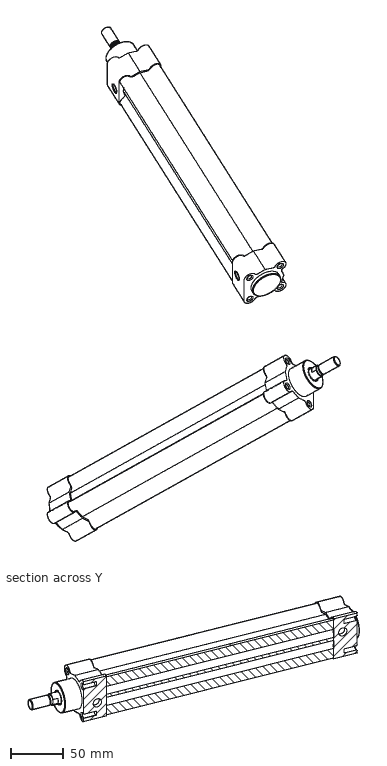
import cadquery as cq
import math


OVERALL_LENGTH = 346.0
FRONT_BOSS_START = 29.8
FRONT_CAP_START = 48.0
CAP_LENGTH = 25.3
REAR_BOSS_LENGTH = 3.8
BARREL_START = FRONT_CAP_START + CAP_LENGTH
REAR_CAP_START = OVERALL_LENGTH - REAR_BOSS_LENGTH - CAP_LENGTH
REAR_BOSS_START = OVERALL_LENGTH - REAR_BOSS_LENGTH
BARREL_LENGTH = REAR_CAP_START - BARREL_START

LOBE_OFFSET = 16.3
LOBE_CENTRES = [(y, z) for y in (-LOBE_OFFSET, LOBE_OFFSET) for z in (-LOBE_OFFSET, LOBE_OFFSET)]
EAVE_RUN = 14.0
VALLEY_ZONE = (7.0, 11.8)

CAP_HALF_WIDTH = 22.5
CAP_LOBE_RADIUS = CAP_HALF_WIDTH - LOBE_OFFSET
CAP_RIDGE_HEIGHT = 20.0
CAP_KNEE_WIDTH = 6.0
CAP_RIDGE_ANGLE = 15.0
CAP_EAVE_ANGLE = 17.0
CAP_VALLEY_FILLET = 2.0

BARREL_LOBE_RADIUS = 5.2
BARREL_RIDGE_HEIGHT = 18.0
BARREL_KNEE_WIDTH = 3.8
BARREL_RIDGE_ANGLE = 11.0
BARREL_EAVE_ANGLE = 15.0
BARREL_VALLEY_FILLET = 1.5

BOSS_RADIUS = 15.2
BOSS_CHAMFER = 0.7
SEAL_RECESS_RADIUS = 7.3
SEAL_RECESS_DEPTH = 1.0
SCREW_HOLE_RADIUS = 2.5
SCREW_HOLE_DEPTH = 14.0
SCREW_HOLE_CHAMFER = 1.0
PORT_RADIUS = 4.0
PORT_DEPTH = 9.0
PORT_CHAMFER = 0.7
PORT_OFFSET = 5.2
FRONT_PORT_X = 63.3
REAR_PORT_X = 326.5

ROD_RADIUS = 6.0
THREAD_RADIUS = 5.2
THREAD_CHAMFER = 0.7
THREAD_END = 19.0
NECK_RADIUS = 5.0
NECK_END = 22.0
NECK_TAPER = 1.0
FLATS_END = 27.5
ACROSS_FLATS = 10.5


def section_plane(x):
    return cq.Workplane("YZ", origin=(x, 0, 0))


def drop(run, angle):
    return run * math.tan(math.radians(angle))


def on_four_sides(roof_points):
    """Outline that repeats the roof of the +Z side on all four sides."""
    outline = []
    for _ in range(4):
        outline += roof_points
        roof_points = [(z, -y) for y, z in roof_points]
    return outline


def fillet_valleys(body, radius):
    """Round the inner corners where the roofs run into the corner lobes."""
    def is_valley(edge):
        nearer_axis = min(abs(edge.Center().y), abs(edge.Center().z))
        return VALLEY_ZONE[0] < nearer_axis < VALLEY_ZONE[1]

    valleys = [edge for edge in body.edges("|X").vals() if is_valley(edge)]
    return body.newObject(valleys).fillet(radius)


def make_roofed_bar(start, length, ridge_height, knee_width, ridge_angle, eave_angle):
    """Square bar whose four sides rise to a shallow double-slope ridge."""
    knee_height = ridge_height - drop(knee_width, ridge_angle)
    eave_height = knee_height - drop(EAVE_RUN - knee_width, eave_angle)
    roof = [
        (-EAVE_RUN, eave_height),
        (-knee_width, knee_height),
        (0, ridge_height),
        (knee_width, knee_height),
        (EAVE_RUN, eave_height),
    ]
    return section_plane(start).polyline(on_four_sides(roof)).close().extrude(length)


def make_cap_block(start):
    """Block with four round lobes, shallow ridges on three sides and a flat -Y side."""
    core = make_roofed_bar(
        start, CAP_LENGTH, CAP_RIDGE_HEIGHT, CAP_KNEE_WIDTH, CAP_RIDGE_ANGLE, CAP_EAVE_ANGLE
    )
    plane = section_plane(start)
    lobes = plane.pushPoints(LOBE_CENTRES).circle(CAP_LOBE_RADIUS).extrude(CAP_LENGTH)
    flat_side = (
        plane.center(-CAP_HALF_WIDTH / 2, 0)
        .rect(CAP_HALF_WIDTH, 2 * LOBE_OFFSET).extrude(CAP_LENGTH)
    )
    return fillet_valleys(core.union(lobes).union(flat_side), CAP_VALLEY_FILLET)


def make_boss(start, length, outer_end):
    boss = section_plane(start).circle(BOSS_RADIUS).extrude(length)
    return boss.faces(outer_end).chamfer(BOSS_CHAMFER)


def drill(body, mouth, direction, radius, depth, chamfer):
    """Blind hole with a chamfered mouth."""
    bore = cq.Solid.makeCylinder(radius, depth, mouth, direction)
    countersink = cq.Solid.makeCone(radius + chamfer, radius, chamfer, mouth, direction)
    return body.cut(cq.Workplane(bore)).cut(cq.Workplane(countersink))


def drill_port(body, x, z):
    mouth = cq.Vector(x, -CAP_HALF_WIDTH, z)
    return drill(body, mouth, cq.Vector(0, 1, 0), PORT_RADIUS, PORT_DEPTH, PORT_CHAMFER)


def drill_screw_holes(body, x, inward):
    for y, z in LOBE_CENTRES:
        mouth = cq.Vector(x, y, z)
        direction = cq.Vector(inward, 0, 0)
        body = drill(body, mouth, direction, SCREW_HOLE_RADIUS, SCREW_HOLE_DEPTH, SCREW_HOLE_CHAMFER)
    return body


def make_front_cap():
    """Cap with the long boss, bored through for the rod."""
    boss = make_boss(FRONT_BOSS_START, FRONT_CAP_START - FRONT_BOSS_START, "<X")
    cap = make_cap_block(FRONT_CAP_START).union(boss)
    boss_face = section_plane(FRONT_BOSS_START)
    bore = boss_face.circle(ROD_RADIUS).extrude(BARREL_START - FRONT_BOSS_START)
    recess = boss_face.circle(SEAL_RECESS_RADIUS).extrude(SEAL_RECESS_DEPTH)
    cap = cap.cut(bore).cut(recess)
    cap = drill_screw_holes(cap, FRONT_CAP_START, 1)
    return drill_port(cap, FRONT_PORT_X, -PORT_OFFSET)


def make_rear_cap():
    """Cap with the short centring boss."""
    boss = make_boss(REAR_BOSS_START, REAR_BOSS_LENGTH, ">X")
    cap = make_cap_block(REAR_CAP_START).union(boss)
    cap = drill_screw_holes(cap, REAR_BOSS_START, -1)
    return drill_port(cap, REAR_PORT_X, PORT_OFFSET)


def make_barrel():
    """Profile bar with shallow double-slope roofs and corner lobes on diagonal webs."""
    barrel = make_roofed_bar(
        BARREL_START,
        BARREL_LENGTH,
        BARREL_RIDGE_HEIGHT,
        BARREL_KNEE_WIDTH,
        BARREL_RIDGE_ANGLE,
        BARREL_EAVE_ANGLE,
    )
    plane = section_plane(BARREL_START)
    web_length = 2 * (math.hypot(LOBE_OFFSET, LOBE_OFFSET) + BARREL_LOBE_RADIUS)
    for angle in (45, -45):
        web = plane.slot2D(web_length, 2 * BARREL_LOBE_RADIUS, angle).extrude(BARREL_LENGTH)
        barrel = barrel.union(web)
    return fillet_valleys(barrel, BARREL_VALLEY_FILLET)


def make_rod():
    """Rod with a threaded end, a relief neck and two wrench flats."""
    profile = [
        (0, 0),
        (0, THREAD_RADIUS - THREAD_CHAMFER),
        (THREAD_CHAMFER, THREAD_RADIUS),
        (THREAD_END, THREAD_RADIUS),
        (THREAD_END + NECK_TAPER, NECK_RADIUS),
        (NECK_END, NECK_RADIUS),
        (NECK_END, ROD_RADIUS),
        (BARREL_START, ROD_RADIUS),
        (BARREL_START, 0),
    ]
    rod = cq.Workplane("XY").polyline(profile).close().revolve(360, (0, 0, 0), (1, 0, 0))
    for side in (-1, 1):
        beyond_flat = (
            section_plane(NECK_END).center(side * (ACROSS_FLATS + ROD_RADIUS) / 2, 0)
            .rect(ROD_RADIUS, 2 * ROD_RADIUS).extrude(FLATS_END - NECK_END)
        )
        rod = rod.cut(beyond_flat)
    return rod


front_cap = make_front_cap()
barrel = make_barrel()
rear_cap = make_rear_cap()
rod = make_rod()

result = cq.Compound.makeCompound([front_cap.val(), barrel.val(), rear_cap.val(), rod.val()])